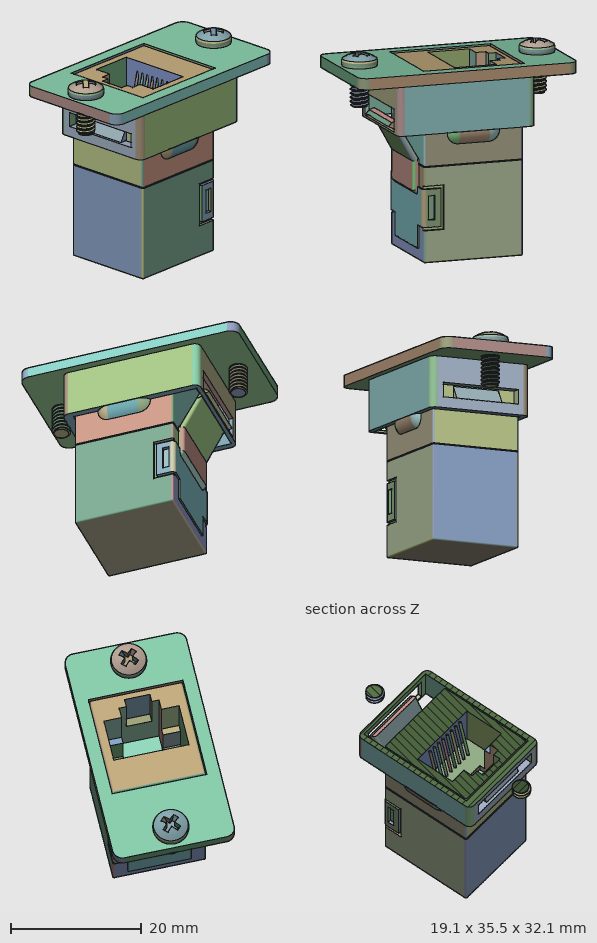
import cadquery as cq
import math

plate_width = 19.05
plate_length = 35.55
plate_thickness = 1.78
plate_corner_radius = 1.53

jack_width = 14.58
jack_front = -9.5
jack_back = 6.6
jack_top = -0.18
jack_bottom = -30.12
jack_edge_radius = 0.25
seam_z = -15.08
seam_height = 0.15
seam_depth = 0.1

skirt_width = 16.8
skirt_length = 22.4
skirt_bottom = -9.75
skirt_corner_radius = 1.03
side_clearance = 0.15
front_clearance = 0.18
back_clearance = 0.15
opening_width = jack_width + 2 * side_clearance
opening_front = jack_front - front_clearance
opening_back = jack_back + back_clearance
back_wall = 0.68
latch_room_back = skirt_length / 2 - back_wall

window_width = 12.8
window_top = -5.8
front_window_bottom = -8.07
back_window_bottom = -9.4

lug_outer_x = 8.32
lug_radius = 2.28
lug_z = -10.0
lug_front = -3.85
lug_back = 1.1

catch_width = 7.7
catch_top = -5.95
catch_reach = 1.25

port_width = 11.8
port_back = 1.15
port_front = -4.62
port_floor = -11.75
shelf_front = -5.65
shelf_z = -7.1
tab_slot_width = 6.25
tab_slot_back = -3.7
tab_slot_front = -7.3
tab_slot_floor = -12.8
key_width = 4.0
key_front = -8.55

contact_count = 8
contact_pitch = 1.03
contact_diameter = 0.43
contact_top_z = -1.9
contact_front = -1.17

clip_thickness = 0.25
clip_back = jack_back + clip_thickness
clip_top = -18.6
clip_bottom = -24.57
clip_corner_radius = 0.65
clip_end_y = 3.85
clip_gap = 0.5
clip_recess_depth = 0.5
slot_y_range = (4.85, 5.9)
slot_z_range = (-23.45, -19.63)

latch_width = 9.95
strip_top = -14.22
strip_bottom = -28.25
latch_back = 7.55
latch_edge_radius = 0.43
latch_foot_z = -19.8
latch_heel_z = -19.2
latch_bend_z = -14.58
latch_root_z = -14.15
nose_base = (10.45, -9.35)
nose_tip = (11.6, -8.82)
nose_top = (11.02, -8.25)
arm_end = (10.3, -7.93)

screw_y = 14.47
head_radius = 2.77
head_base_radius = 2.7
head_base_height = 0.32
head_side_top = 0.75
head_rim_radius = 2.65
head_rim_z = 1.1
head_top = 2.0
thread_radius = 1.42
thread_root_radius = 1.15
thread_pitch = 0.65
thread_end = -6.4
ridge_base = 0.55
ridge_crest = 0.05
ridge_overlap = 0.05
envelope_turn = 137.0
tip_chamfer = 0.3
recess_width = 0.85
recess_top_reach = 1.65
recess_floor_reach = 1.0
recess_floor_z = 0.55


def block(x_range, y_range, z_range):
    """Axis-aligned box between the given limits."""
    size = [high - low for low, high in (x_range, y_range, z_range)]
    corner = (x_range[0], y_range[0], z_range[0])
    return cq.Workplane("XY").box(*size, centered=False).translate(corner)


def centered_block(width, y_range, z_range):
    """Box centred on X = 0."""
    return block((-width / 2, width / 2), y_range, z_range)


def side_profile(points, width):
    """Extrude a (Y, Z) outline over a width centred on X = 0."""
    return cq.Workplane("YZ").polyline(points).close().extrude(width / 2, both=True)



def make_lug():
    """Round-ended bar on the +X side, cut flush with the inner face and lower edge of the skirt."""
    axis_x = lug_outer_x - lug_radius
    bar = (
        cq.Workplane("XZ", origin=(axis_x, lug_front, lug_z))
        .circle(lug_radius).extrude(lug_front - lug_back)
    )
    for end_y in (lug_front, lug_back):
        bar = bar.union(cq.Workplane("XY", origin=(axis_x, end_y, lug_z)).sphere(lug_radius))
    keep = block(
        (opening_width / 2, lug_outer_x),
        (lug_front - lug_radius, lug_back + lug_radius),
        (lug_z - lug_radius, skirt_bottom),
    )
    return bar.intersect(keep)


def make_housing():
    plate = cq.Workplane("XY").rect(plate_width, plate_length).extrude(-plate_thickness)
    plate = plate.edges("|Z").fillet(plate_corner_radius)
    skirt = cq.Workplane("XY").rect(skirt_width, skirt_length).extrude(skirt_bottom)
    skirt = skirt.edges("|Z").fillet(skirt_corner_radius)
    opening = centered_block(opening_width, (opening_front, opening_back), (skirt_bottom, 0))
    latch_room = centered_block(
        opening_width, (opening_front, latch_room_back), (skirt_bottom, -plate_thickness)
    )
    front_window = centered_block(
        window_width, (-skirt_length / 2, opening_front), (front_window_bottom, window_top)
    )
    back_window = centered_block(
        window_width, (latch_room_back, skirt_length / 2), (back_window_bottom, window_top)
    )
    housing = plate.union(skirt).cut(opening).cut(latch_room).cut(front_window).cut(back_window)
    screw_holes = (
        cq.Workplane("XY").pushPoints([(0, -screw_y), (0, screw_y)])
        .circle(thread_radius).extrude(-plate_thickness)
    )
    lug = make_lug()
    return housing.cut(screw_holes).union(lug).union(lug.mirror("YZ"))



def make_jack_body():
    body = centered_block(jack_width, (jack_front, jack_back), (jack_bottom, jack_top))
    body = body.edges().fillet(jack_edge_radius)
    seam_z_range = (seam_z - seam_height / 2, seam_z + seam_height / 2)
    seam_band = centered_block(jack_width, (jack_front, jack_back), seam_z_range)
    seam_core = centered_block(
        jack_width - 2 * seam_depth, (jack_front + seam_depth, jack_back - seam_depth), seam_z_range
    )
    return body.cut(seam_band.cut(seam_core))


def make_catch():
    """Wedge whose sloping face rises towards the jack."""
    profile = [
        (jack_front, catch_top),
        (jack_front, front_window_bottom),
        (jack_front - catch_reach, front_window_bottom),
    ]
    return side_profile(profile, catch_width)


def make_port():
    """Stepped plug cavity, open at the top of the jack."""
    plug = centered_block(port_width, (port_front, port_back), (port_floor, jack_top))
    shelf = centered_block(port_width, (shelf_front, port_front), (shelf_z, jack_top))
    tab_slot = centered_block(tab_slot_width, (tab_slot_front, tab_slot_back), (tab_slot_floor, jack_top))
    key = centered_block(key_width, (key_front, tab_slot_front), (shelf_z, jack_top))
    return plug.union(shelf).union(tab_slot).union(key)


def make_contacts():
    """Row of round wires that slope from the back wall of the port to its floor."""
    start_y = port_back + contact_diameter / 2
    end_y = contact_front + contact_diameter / 2
    direction = cq.Vector(0, end_y - start_y, port_floor - contact_top_z)
    contacts = []
    for index in range(contact_count):
        x = (index - (contact_count - 1) / 2) * contact_pitch
        start = cq.Vector(x, start_y, contact_top_z)
        contacts.append(
            cq.Solid.makeCylinder(contact_diameter / 2, direction.Length, start, direction)
        )
    return contacts


def make_clip_recess():
    """Shallow pocket on the -X side that the end of the clip lies in."""
    return block(
        (-jack_width / 2, -jack_width / 2 + clip_recess_depth),
        (clip_end_y - clip_gap, jack_back),
        (clip_bottom - clip_gap, clip_top + clip_gap),
    )


def make_clip():
    """Band across the back of the jack with a slotted end on each side."""
    band = centered_block(jack_width, (clip_end_y, clip_back), (clip_bottom, clip_top))
    band = band.edges("|Z and >Y").fillet(clip_corner_radius)
    inside = centered_block(
        jack_width - 2 * clip_recess_depth, (clip_end_y, jack_back), (clip_bottom, clip_top)
    )
    slots = centered_block(jack_width, slot_y_range, slot_z_range)
    return band.cut(inside).cut(slots)


def make_latch():
    """Springy arm that leans away from the jack and ends in a hooked nose."""
    strip = centered_block(latch_width, (jack_back, clip_back), (strip_bottom, strip_top))
    profile = [
        (jack_back, latch_root_z),
        (jack_back, latch_foot_z),
        (clip_back, latch_foot_z),
        (latch_back, latch_heel_z),
        (latch_back, latch_bend_z),
        nose_base,
        nose_tip,
        nose_top,
        arm_end,
    ]
    arm = side_profile(profile, latch_width)
    outer_edges = cq.selectors.BoxSelector(
        (-latch_width, clip_back, latch_foot_z), (latch_width, nose_tip[0], nose_base[1])
    )
    arm = arm.faces("<X or >X").edges(outer_edges).fillet(latch_edge_radius)
    return arm.union(strip)


def make_jack():
    recess = make_clip_recess()
    jack = make_jack_body().cut(make_port()).cut(recess).cut(recess.mirror("YZ"))
    jack = jack.union(make_catch()).union(make_clip()).union(make_latch())
    for contact in make_contacts():
        jack = jack.union(cq.Workplane(contact))
    return jack



def make_thread():
    """Right-handed thread on the shank below the plate, with a chamfered tip."""
    length = -plate_thickness - thread_end
    helix_start = thread_end - thread_pitch
    helix = cq.Wire.makeHelix(thread_pitch, length + 2 * thread_pitch, thread_root_radius)
    helix = helix.translate(cq.Vector(0, 0, helix_start))
    ridge_inner_radius = thread_root_radius - ridge_overlap
    ridge_outer_radius = thread_radius + ridge_overlap
    ridge = (
        cq.Workplane("XZ")
        .polyline([
            (ridge_inner_radius, helix_start - ridge_base / 2),
            (ridge_outer_radius, helix_start - ridge_crest / 2),
            (ridge_outer_radius, helix_start + ridge_crest / 2),
            (ridge_inner_radius, helix_start + ridge_base / 2),
        ])
        .close()
        .sweep(cq.Workplane(helix), isFrenet=True)
    )
    core = cq.Workplane("XY").circle(thread_root_radius).extrude(thread_end)
    envelope = (
        cq.Workplane("XY").workplane(offset=thread_end).circle(thread_radius).extrude(length)
        .faces("<Z").chamfer(tip_chamfer)
        .rotate((0, 0, 0), (0, 0, 1), envelope_turn)
    )
    return core.union(ridge).intersect(envelope)


def make_driver_recess():
    """Cross-shaped driver recess turned 45 degrees, with sloping arm ends."""
    arm = (
        cq.Workplane("XZ")
        .polyline([
            (-recess_floor_reach, recess_floor_z),
            (recess_floor_reach, recess_floor_z),
            (recess_top_reach, head_top),
            (-recess_top_reach, head_top),
        ])
        .close()
        .extrude(recess_width / 2, both=True)
    )
    axis = ((0, 0, 0), (0, 0, 1))
    return arm.rotate(*axis, 45).union(arm.rotate(*axis, -45))


def make_screw():
    dome_rise = head_top - head_rim_z
    dome_sphere_radius = (head_rim_radius**2 + dome_rise**2) / (2 * dome_rise)
    mid_x = head_rim_radius / 2
    mid_z = head_top - dome_sphere_radius + math.sqrt(dome_sphere_radius**2 - mid_x**2)
    head_and_shank = (
        cq.Workplane("XZ")
        .moveTo(0, -plate_thickness)
        .lineTo(thread_radius, -plate_thickness)
        .lineTo(thread_radius, 0)
        .lineTo(head_base_radius, 0)
        .lineTo(head_radius, head_base_height)
        .lineTo(head_radius, head_side_top)
        .lineTo(head_rim_radius, head_rim_z)
        .threePointArc((mid_x, mid_z), (0, head_top))
        .close()
        .revolve(360, (0, 0, 0), (0, 1, 0))
    )
    return head_and_shank.cut(make_driver_recess()).union(make_thread())


housing = make_housing()
jack = make_jack()
screw = make_screw()
screws = [screw.translate((0, y, 0)).solids().val() for y in (-screw_y, screw_y)]

result = cq.Compound.makeCompound([housing.solids().val(), jack.solids().val(), *screws])